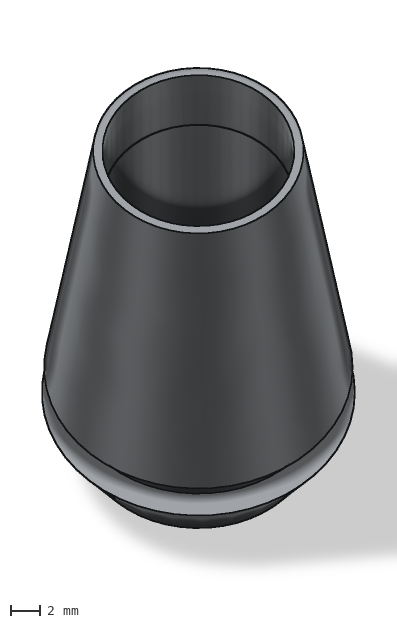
import cadquery as cq

length = 31.5
flange_radius = 10.65

nose_tip_radius = 7.9
nose_height = 4.88

groove_radius = 8.75
groove_width = 2.77

taper_base_radius = 10.5
taper_top_radius = 7.15

bore_radius = 6.5
relief_radius = 6.52
relief_depth = 5.45

groove_top = nose_height + groove_width
relief_floor = length - relief_depth

half_section = (
    cq.Workplane("XZ")
    .moveTo(bore_radius, 0)
    .lineTo(nose_tip_radius, 0)
    .lineTo(flange_radius, nose_height)
    .lineTo(groove_radius, nose_height)
    .lineTo(groove_radius, groove_top)
    .lineTo(taper_base_radius, groove_top)
    .lineTo(taper_top_radius, length)
    .lineTo(relief_radius, length)
    .lineTo(relief_radius, relief_floor)
    .lineTo(bore_radius, relief_floor)
    .close()
)

result = half_section.revolve(360, (0, 0, 0), (0, 1, 0))